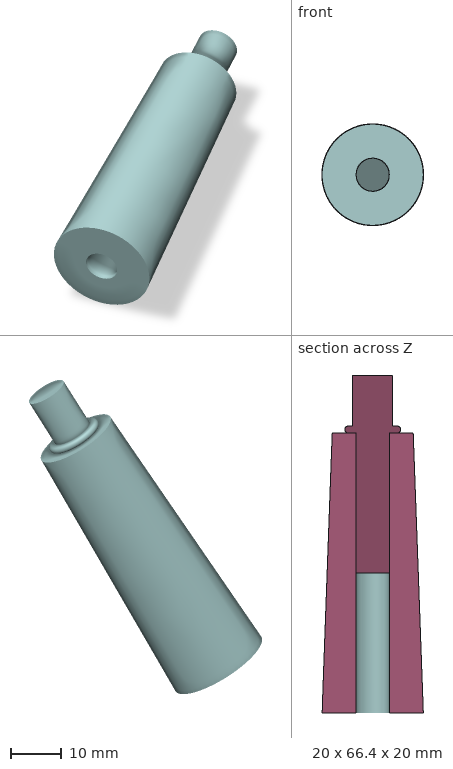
import cadquery as cq

total_length = 66.4
handle_length = 55.05

wide_diameter = 20.0
narrow_diameter = 16.0
bore_diameter = 6.5

stem_diameter = 8.0
collar_diameter = 11.1
collar_thickness = 1.4
shank_start = handle_length / 2


def revolve_about_y(profile):
    """Full turn of a closed XY profile about the Y axis."""
    return profile.revolve(360, (0, 0, 0), (0, 1, 0))


def make_handle():
    """Conical grip with a bore along its whole length."""
    bore_radius = bore_diameter / 2
    profile = (
        cq.Workplane("XY")
        .moveTo(bore_radius, 0)
        .lineTo(wide_diameter / 2, 0)
        .lineTo(narrow_diameter / 2, handle_length)
        .lineTo(bore_radius, handle_length)
        .close()
    )
    return revolve_about_y(profile)


def make_pin():
    """Shank, collar with a fully rounded rim resting on the handle, and projecting stem."""
    shank_radius = bore_diameter / 2
    stem_radius = stem_diameter / 2
    collar_radius = collar_diameter / 2
    rim_radius = collar_thickness / 2
    rim_center_radius = collar_radius - rim_radius
    rim_middle = handle_length + rim_radius
    collar_end = handle_length + collar_thickness
    profile = (
        cq.Workplane("XY")
        .moveTo(0, shank_start)
        .lineTo(shank_radius, shank_start)
        .lineTo(shank_radius, handle_length)
        .lineTo(rim_center_radius, handle_length)
        .radiusArc((collar_radius, rim_middle), -rim_radius)
        .radiusArc((rim_center_radius, collar_end), -rim_radius)
        .lineTo(stem_radius, collar_end)
        .lineTo(stem_radius, total_length)
        .lineTo(0, total_length)
        .close()
    )
    return revolve_about_y(profile)


handle = make_handle()
pin = make_pin()

result = cq.Compound.makeCompound([handle.val(), pin.val()])